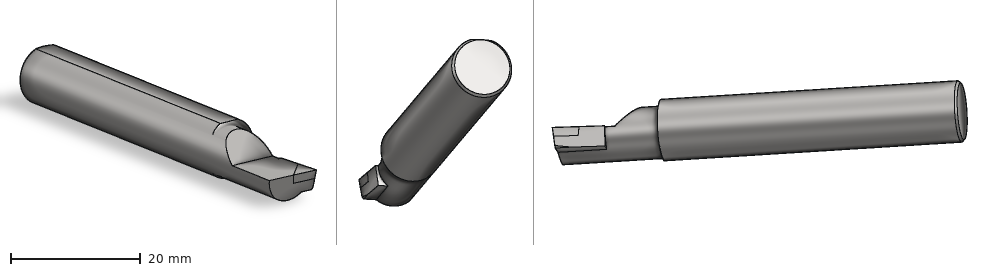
import cadquery as cq
import math

length = 63.5
shank_radius = 4.75
shank_length = 46.9
rear_chamfer = 0.4
flat_height = 4.45
overcut = 3.2

neck_radius = 4.05
neck_offset = -0.95
neck_fillet = 0.75

rake_start = 53.9
head_start = 55.45
head_depth = 3.2
tip_y = 4.25
side_angle = 5.0
side_relief_angle = 8.0
end_angle = 1.5
end_relief_angle = 6.0

insert_thickness = 1.4
insert_leg = 4.5

side_taper = math.tan(math.radians(side_angle))


def x_cylinder(radius):
    return cq.Workplane("YZ").circle(radius).extrude(length)


def make_shank():
    shank = x_cylinder(shank_radius).faces("<X").chamfer(rear_chamfer)
    above_flat = (
        cq.Workplane("XY").workplane(offset=flat_height)
        .rect(2 * length, 4 * shank_radius).extrude(overcut)
    )
    return shank.cut(above_flat)


def make_neck_envelope():
    """Solid of revolution that trims the shank to the neck beyond the shoulder."""
    outer_radius = 2 * shank_radius
    fillet_end = shank_length + neck_fillet
    fillet_mid = neck_fillet * (1 - math.sqrt(0.5))
    return (
        cq.Workplane("XZ", origin=(0, neck_offset, 0))
        .moveTo(0, 0)
        .lineTo(0, outer_radius)
        .lineTo(shank_length, outer_radius)
        .lineTo(shank_length, neck_radius + neck_fillet)
        .threePointArc(
            (shank_length + fillet_mid, neck_radius + fillet_mid),
            (fillet_end, neck_radius),
        )
        .lineTo(length, neck_radius)
        .lineTo(length, 0)
        .close()
        .revolve(360, (0, 0, 0), (1, 0, 0))
    )


def make_side_lug():
    """Wider cutting side of the head, tapered back and relieved below the rake face."""
    start_y = tip_y - (length - head_start) * side_taper
    lug = (
        cq.Workplane("XY")
        .polyline([(head_start, 0), (length, 0), (length, tip_y), (head_start, start_y)])
        .close()
        .extrude(-head_depth)
    )
    drop = head_depth * math.tan(math.radians(side_relief_angle))
    relief = (
        cq.Workplane("YZ", origin=(length, tip_y, 0))
        .polyline([(0, 0), (overcut, 0), (overcut, -head_depth), (-drop, -head_depth)])
        .close()
        .extrude(-2 * (length - head_start))
        .rotate((length, tip_y, 0), (length, tip_y, 1), side_angle)
    )
    return lug.cut(relief).intersect(x_cylinder(shank_radius))


def make_ramp_cutter():
    rise = 2 * shank_radius
    return (
        cq.Workplane("XZ")
        .polyline([
            (rake_start, 0),
            (length + overcut, 0),
            (length + overcut, rise),
            (rake_start - rise, rise),
        ])
        .close()
        .extrude(2 * shank_radius, both=True)
    )


def make_end_cutter():
    """Wedge beyond the tapered and relieved end face, with its corner at the tip."""
    depth = 2 * shank_radius
    drop = depth * math.tan(math.radians(end_relief_angle))
    return (
        cq.Workplane("XZ", origin=(length, tip_y, 0))
        .polyline([(0, 0), (overcut, 0), (overcut, -depth), (-drop, -depth)])
        .close()
        .extrude(2 * depth, both=True)
        .rotate((length, tip_y, 0), (length, tip_y, 1), -end_angle)
    )


def make_blank():
    blank = make_shank().intersect(make_neck_envelope()).union(make_side_lug())
    return blank.cut(make_ramp_cutter()).cut(make_end_cutter())


def make_insert_pocket():
    """Triangular prism at the cutting corner; its long side runs at 45 degrees."""
    return (
        cq.Workplane("XY")
        .polyline([
            (length - insert_leg - overcut, tip_y + overcut),
            (length + overcut, tip_y + overcut),
            (length + overcut, tip_y - insert_leg - overcut),
        ])
        .close()
        .extrude(-insert_thickness)
    )


blank = make_blank()
insert_pocket = make_insert_pocket()
holder = blank.cut(insert_pocket)
cutting_insert = blank.intersect(insert_pocket)

result = cq.Compound.makeCompound([holder.val(), cutting_insert.val()])